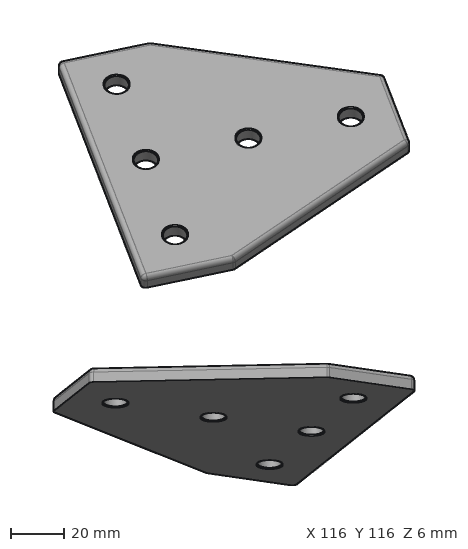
import cadquery as cq

side = 116.0
thickness = 6.0
hole_pitch = 40.0
edge_margin = (side - 2 * hole_pitch) / 2
arm_width = 2 * edge_margin
edge_radius = 2.0
hole_diameter = 9.0
hole_chamfer = 0.5

half_side = side / 2
half_arm = arm_width / 2
shoulder_y = -half_side + arm_width


def make_plate():
    """T outline with sloping flanks, rounded at the corners and top rim."""
    outline = [
        (-half_side, -half_side),
        (half_side, -half_side),
        (half_side, shoulder_y),
        (half_arm, half_side),
        (-half_arm, half_side),
        (-half_side, shoulder_y),
    ]
    plate = cq.Workplane("XY").polyline(outline).close().extrude(thickness)
    plate = plate.edges("|Z").fillet(edge_radius)
    return plate.faces(">Z").edges().fillet(edge_radius)


def make_hole_cutter():
    """Through hole with a small 45 degree chamfer at both faces."""
    rim_radius = hole_diameter / 2 + hole_chamfer
    bottom = cq.Workplane("XY")
    top = bottom.workplane(offset=thickness)
    hole = bottom.circle(hole_diameter / 2).extrude(thickness)
    bottom_rim = bottom.circle(rim_radius).extrude(hole_chamfer, taper=45)
    top_rim = top.circle(rim_radius).extrude(-hole_chamfer, taper=45)
    return hole.union(bottom_rim).union(top_rim)


bar_y = -half_side + edge_margin
bar_holes = [(column * hole_pitch, bar_y) for column in (-1, 0, 1)]
stem_holes = [(0, bar_y + row * hole_pitch) for row in (1, 2)]

result = make_plate()
for x, y in bar_holes + stem_holes:
    result = result.cut(make_hole_cutter().translate((x, y, 0)))